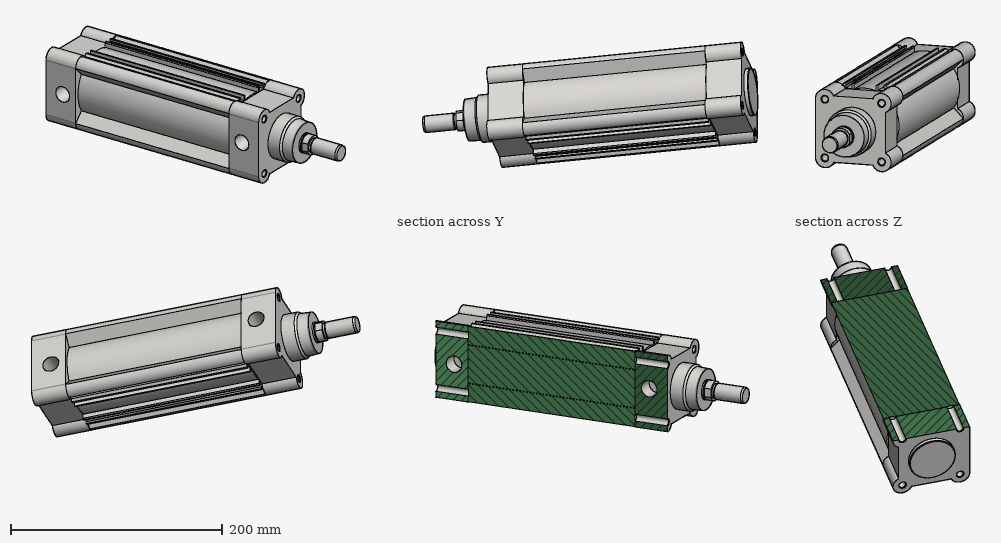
import cadquery as cq
import math


LENGTH = 319.0
REAR_BOSS_LENGTH = 4.0
CAP_LENGTH = 34.5
TUBE_LENGTH = 177.0
COLLAR_LENGTH = 15.3
NOSE_LENGTH = 11.5
REAR_CAP_X = REAR_BOSS_LENGTH
TUBE_X = REAR_CAP_X + CAP_LENGTH
FRONT_CAP_X = TUBE_X + TUBE_LENGTH
COLLAR_X = FRONT_CAP_X + CAP_LENGTH
NOSE_X = COLLAR_X + COLLAR_LENGTH
NOSE_END_X = NOSE_X + NOSE_LENGTH

HALF_WIDTH = 38.0
CORNER_RADIUS = 9.5
CORNER_CENTRE = HALF_WIDTH - CORNER_RADIUS
CORNERS = [(y, z) for y in (-CORNER_CENTRE, CORNER_CENTRE) for z in (-CORNER_CENTRE, CORNER_CENTRE)]

CAP_FACE = 32.2
BOSS_RADIUS = 22.5
BOSS_CHAMFER = 0.5
SCREW_HOLE_RADIUS = 3.2
COUNTERSINK = 0.5
PORT_RADIUS = 8.0
PORT_DEPTH = 25.5
PORT_FROM_CAP_END = 19.5
PORT_OFFSET_Z = 2.2

NOSE_BASE_RADIUS = 20.7
NOSE_TIP_RADIUS = 20.0
COLLAR_CHAMFER = BOSS_RADIUS - NOSE_BASE_RADIUS
NOSE_RIM = 1.0

BARREL_RADIUS = 34.0
FLANK_OFFSET = 9.3
SLOT_FLOOR = 33.0
RIB_INNER = 11.0
RIB_OUTER = 13.0
RIB_CHAMFER = 1.0
WALL_INNER = 19.8
WALL_OUTER = 23.0
WALL_CHAMFER = 2.2
HOOK_REACH = 1.0
HOOK_HEIGHT = 2.0

ROD_RADIUS = 8.0
NECK_RADIUS = 7.3
THREAD_LEAD_IN = 1.0
THREAD_TIP_LENGTH = 2.0
SHOULDER_RADIUS = 10.0
SHOULDER_END_X = 286.5
NECK_LENGTH = 2.0
RELIEF_X = 278.5
RELIEF_TAPER = 1.0
WRENCH_RADIUS = 9.5
FLATS_WIDTH = 17.2
FLATS_X = RELIEF_X + RELIEF_TAPER


def section_at(x):
    """Sketch plane across the axis: local x is +Y, local y is +Z, extrusion goes to +X."""
    return cq.Workplane("YZ", origin=(x, 0, 0))


def revolved(profile):
    """Solid of revolution about X from a list of (x, radius) points starting and ending on the axis."""
    return cq.Workplane("XY").polyline(profile).close().revolve(360, (0, 0, 0), (1, 0, 0))


def mirrored_four_ways(shape):
    """A shape together with its mirror images across the XZ and XY planes."""
    pair = shape.union(shape.mirror("XZ"))
    return pair.union(pair.mirror("XY"))


def cap_block(x):
    """Cap recessed between its corners on three sides and flush with them on -Y."""
    block = section_at(x).rect(2 * CAP_FACE, 2 * CAP_FACE).extrude(CAP_LENGTH)
    lobes = section_at(x).pushPoints(CORNERS).circle(CORNER_RADIUS).extrude(CAP_LENGTH)
    flush_side = (
        section_at(x)
        .center(-HALF_WIDTH / 2, 0)
        .rect(HALF_WIDTH, 2 * CORNER_CENTRE)
        .extrude(CAP_LENGTH)
    )
    return block.union(lobes).union(flush_side)


def screw_holes(outer_x, inward):
    """Countersunk corner holes through a cap from its outer face; inward is +1 or -1 along X."""
    mouth_radius = SCREW_HOLE_RADIUS + COUNTERSINK
    profile = [
        (outer_x, 0),
        (outer_x, mouth_radius),
        (outer_x + inward * COUNTERSINK, SCREW_HOLE_RADIUS),
        (outer_x + inward * CAP_LENGTH, SCREW_HOLE_RADIUS),
        (outer_x + inward * CAP_LENGTH, 0),
    ]
    hole = revolved(profile)
    holes = cq.Workplane("XY")
    for y, z in CORNERS:
        holes = holes.add(hole.translate((0, y, z)))
    return holes.combine()


def port(x, z):
    """Blind air port entering from the -Y face."""
    return cq.Workplane("XZ", origin=(x, -HALF_WIDTH, z)).circle(PORT_RADIUS).extrude(-PORT_DEPTH)


def make_rear_cap():
    boss = section_at(0).circle(BOSS_RADIUS).extrude(REAR_BOSS_LENGTH).faces("<X").chamfer(BOSS_CHAMFER)
    cap = cap_block(REAR_CAP_X).union(boss)
    cap = cap.cut(screw_holes(REAR_CAP_X, 1))
    return cap.cut(port(REAR_CAP_X + PORT_FROM_CAP_END, -PORT_OFFSET_Z))


def make_front_cap():
    collar_and_nose = revolved([
        (COLLAR_X, 0),
        (COLLAR_X, BOSS_RADIUS),
        (NOSE_X - COLLAR_CHAMFER, BOSS_RADIUS),
        (NOSE_X, NOSE_BASE_RADIUS),
        (NOSE_END_X - NOSE_RIM, NOSE_TIP_RADIUS),
        (NOSE_END_X, NOSE_TIP_RADIUS),
        (NOSE_END_X, 0),
    ])
    bore_length = NOSE_END_X - FRONT_CAP_X
    rod_bore = section_at(FRONT_CAP_X).circle(SHOULDER_RADIUS).extrude(bore_length)
    cap = cap_block(FRONT_CAP_X).union(collar_and_nose)
    cap = cap.cut(screw_holes(COLLAR_X, -1)).cut(rod_bore)
    return cap.cut(port(COLLAR_X - PORT_FROM_CAP_END, PORT_OFFSET_Z))


def corner_web():
    """Diagonal web with 45 degree flanks and a rounded tip, in the +Y +Z quadrant."""
    half_thickness = FLANK_OFFSET / math.sqrt(2)
    tip_run = math.sqrt(CORNER_RADIUS**2 - half_thickness**2)
    flank_near = CORNER_CENTRE + (tip_run - half_thickness) / math.sqrt(2)
    flank_far = flank_near + FLANK_OFFSET
    tip = CORNER_CENTRE + CORNER_RADIUS / math.sqrt(2)
    return (
        section_at(TUBE_X)
        .moveTo(0, 0)
        .lineTo(FLANK_OFFSET, 0)
        .lineTo(flank_far, flank_near)
        .threePointArc((tip, tip), (flank_near, flank_far))
        .lineTo(0, FLANK_OFFSET)
        .close()
        .extrude(TUBE_LENGTH)
    )


def sensor_slot_walls():
    """Rib, slot floor and hooked wall that form one sensor slot, in the +Y +Z quadrant."""
    top = HALF_WIDTH
    root = CORNER_CENTRE
    profile = [
        (RIB_INNER, root),
        (RIB_INNER, top - RIB_CHAMFER),
        (RIB_INNER + RIB_CHAMFER, top),
        (RIB_OUTER, top),
        (RIB_OUTER, SLOT_FLOOR),
        (WALL_INNER, SLOT_FLOOR),
        (WALL_INNER, top - HOOK_HEIGHT - HOOK_REACH),
        (WALL_INNER - HOOK_REACH, top - HOOK_HEIGHT),
        (WALL_INNER - HOOK_REACH, top),
        (WALL_OUTER - WALL_CHAMFER, top),
        (WALL_OUTER, top - WALL_CHAMFER),
        (WALL_OUTER, root),
    ]
    return section_at(TUBE_X).polyline(profile).close().extrude(TUBE_LENGTH)


def make_tube():
    barrel = section_at(TUBE_X).circle(BARREL_RADIUS).extrude(TUBE_LENGTH)
    quadrant = corner_web().union(sensor_slot_walls())
    return barrel.union(mirrored_four_ways(quadrant))


def make_rod():
    neck_end_x = SHOULDER_END_X + NECK_LENGTH
    rod = revolved([
        (FRONT_CAP_X, 0),
        (FRONT_CAP_X, SHOULDER_RADIUS),
        (RELIEF_X, SHOULDER_RADIUS),
        (FLATS_X, WRENCH_RADIUS),
        (SHOULDER_END_X, WRENCH_RADIUS),
        (SHOULDER_END_X, NECK_RADIUS),
        (neck_end_x, NECK_RADIUS),
        (neck_end_x + THREAD_LEAD_IN, ROD_RADIUS),
        (LENGTH - THREAD_TIP_LENGTH, ROD_RADIUS),
        (LENGTH, NECK_RADIUS),
        (LENGTH, 0),
    ])
    clear_of_rod = 4 * SHOULDER_RADIUS
    outside_flats = (
        section_at(FLATS_X)
        .rect(clear_of_rod, 2 * clear_of_rod)
        .rect(FLATS_WIDTH, clear_of_rod)
        .extrude(SHOULDER_END_X - FLATS_X)
    )
    return rod.cut(outside_flats)


rear_cap = make_rear_cap()
tube = make_tube()
front_cap = make_front_cap()
rod = make_rod()

result = cq.Compound.makeCompound([rear_cap.val(), tube.val(), front_cap.val(), rod.val()])